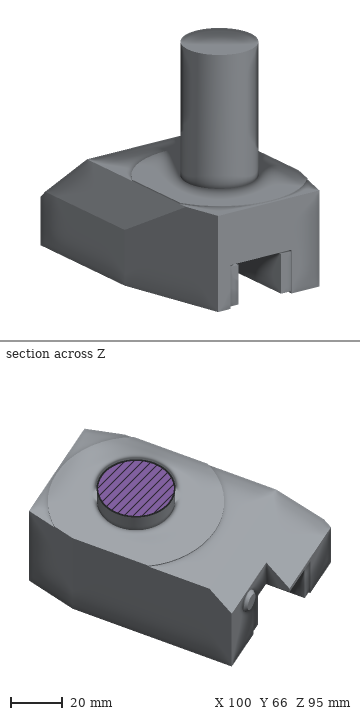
import cadquery as cq
import math

length = 100.0
width = 66.0
block_height = 39.5
rear_taper_angle = 15.0
front_taper_depth = 12.0
back_taper_depth = 5.8

left_slope_run = 19.6
front_slope_run = 7.9
front_slope_bottom = 22.9

notch_length = 10.0
notch_width = 30.0

shaft_x = 65.0
shaft_y = 38.0
shaft_radius = 15.0
disc_radius = 34.0
disc_top = 40.0
total_height = 95.0

slot_front = 18.0
slot_back = 47.0
slot_height = 18.0
front_pad_thickness = 4.0
back_pad_thickness = 4.7
pad_bottom = 0.8
pad_top = 17.1
pad_inset = 0.4

pin_y = 52.0
pin_z = 23.9
pin_radius = 4.5
pin_length = 1.6
pin_chamfer = 1.1


def tapered_prism(height):
    """Block outline with both sides tapering towards the right end."""
    slope = math.tan(math.radians(rear_taper_angle))
    front_bend_x = length - front_taper_depth / slope
    back_bend_x = length - back_taper_depth / slope
    return (
        cq.Workplane("XY")
        .moveTo(0, 0)
        .lineTo(front_bend_x, 0)
        .lineTo(length, front_taper_depth)
        .lineTo(length, width - back_taper_depth)
        .lineTo(back_bend_x, width)
        .lineTo(0, width)
        .close()
        .extrude(height)
    )


def make_block():
    """Tapered block with sloping left and front faces and a corner notch."""
    left_wedge = (
        cq.Workplane("XZ")
        .polyline([(0, block_height - left_slope_run), (left_slope_run, block_height), (0, block_height)])
        .close()
        .extrude(-width)
    )
    front_wedge = (
        cq.Workplane("YZ")
        .polyline([(0, front_slope_bottom), (front_slope_run, block_height), (0, block_height)])
        .close()
        .extrude(length)
    )
    notch = (
        cq.Workplane("XY")
        .box(notch_length, notch_width, block_height, centered=False)
        .translate((0, width - notch_width, 0))
    )
    return tapered_prism(block_height).cut(left_wedge).cut(front_wedge).cut(notch)


def make_disc():
    """Thin disc trimmed to the top face of the block."""
    disc = cq.Workplane("XY").center(shaft_x, shaft_y).circle(disc_radius).extrude(disc_top)
    top_area = (
        cq.Workplane("XY", origin=(0, front_slope_run, block_height))
        .rect(length, width - front_slope_run, centered=False)
        .extrude(disc_top - block_height)
    )
    return disc.intersect(top_area).intersect(tapered_prism(disc_top))


def make_shaft():
    return (
        cq.Workplane("XY", origin=(shaft_x, shaft_y, block_height))
        .circle(shaft_radius)
        .extrude(total_height - block_height)
    )


def make_slot():
    return (
        cq.Workplane("XY")
        .box(length, slot_back - slot_front, slot_height, centered=False)
        .translate((0, slot_front, 0))
    )


def make_pad(start_x, start_y, thickness):
    """Pad along a slot wall, inset from both ends of that wall."""
    pad_length = length - start_x - pad_inset
    return (
        cq.Workplane("XY")
        .box(pad_length, thickness, pad_top - pad_bottom, centered=False)
        .translate((start_x, start_y, pad_bottom))
    )


def make_pin():
    return (
        cq.Workplane("YZ", origin=(notch_length, pin_y, pin_z))
        .circle(pin_radius)
        .extrude(-pin_length)
        .faces("<X")
        .chamfer(pin_chamfer)
    )


front_pad = make_pad(pad_inset, slot_front, front_pad_thickness)
back_pad = make_pad(notch_length + pad_inset, slot_back - back_pad_thickness, back_pad_thickness)

result = (
    make_block()
    .cut(make_slot())
    .union(front_pad)
    .union(back_pad)
    .union(make_disc())
    .union(make_shaft())
    .union(make_pin())
)